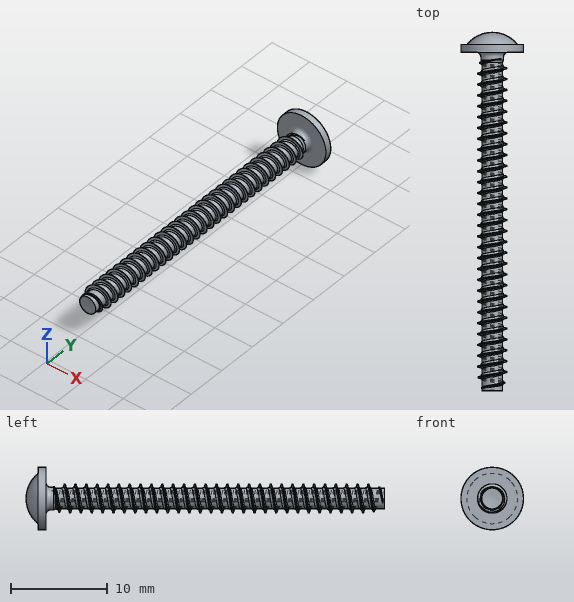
import cadquery as cq
import math


total_length = 37.07
head_diameter = 6.5
flange_thickness = 0.8
dome_diameter = 5.23
dome_height = 1.25
head_height = flange_thickness + dome_height

shank_length = total_length - head_height
core_radius = 1.08
neck_radius = 1.2
neck_fillet = 0.5
neck_length = 0.78
neck_taper_length = 0.25

turned_length = 31.4
turn_count = 28
pitch = turned_length / turn_count
crest_radius = 1.52
crest_half_width = 0.02
shoulder_radius = 1.22
shoulder_half_width = 0.093
foot_overlap = 0.05
foot_radius = core_radius - foot_overlap
head_side_foot_width = 0.4
tip_side_foot_width = 0.25
buried_depth = 0.2

crest_depth_at_top = 1.93
thread_start_depth = 0.22
thread_end_depth = shank_length - 0.07
fade_in_length = 1.4
fade_out_length = 1.4
steps_per_turn = 12
full_stretch_count = 14

hollow_depth = 0.1


def make_body():
    """Revolve the dome, flange, filleted neck and core about the Y axis."""
    dome_radius = dome_diameter / 2
    sphere_radius = (dome_radius**2 + dome_height**2) / (2 * dome_height)
    sphere_centre = head_height - sphere_radius
    half_angle = math.asin(dome_radius / sphere_radius) / 2
    dome_middle = (
        sphere_radius * math.sin(half_angle),
        sphere_centre + sphere_radius * math.cos(half_angle),
    )
    fillet_inset = neck_fillet * (1 - math.sqrt(0.5))
    fillet_middle = (neck_radius + fillet_inset, -fillet_inset)
    return (
        cq.Workplane("XY")
        .moveTo(0, head_height)
        .threePointArc(dome_middle, (dome_radius, flange_thickness))
        .lineTo(head_diameter / 2, flange_thickness)
        .lineTo(head_diameter / 2, 0)
        .lineTo(neck_radius + neck_fillet, 0)
        .threePointArc(fillet_middle, (neck_radius, -neck_fillet))
        .lineTo(neck_radius, -neck_length)
        .lineTo(core_radius, -neck_length - neck_taper_length)
        .lineTo(core_radius, -shank_length)
        .lineTo(0, -shank_length)
        .close()
        .revolve(360, (0, 0, 0), (0, 1, 0))
    )


def ridge_fullness(depth):
    """Share of the full ridge height that stands at a given depth below the seat."""
    rise = (depth - thread_start_depth) / fade_in_length
    fall = (thread_end_depth - depth) / fade_out_length
    return max(0, min(1, rise, fall))


def thread_edge(height, offset, start_depth, end_depth):
    """Helical edge through one corner of the profile, at a full height above the foot radius."""
    turns = (end_depth - start_depth) / pitch
    step_count = round(turns * steps_per_turn)
    points = []
    for step in range(step_count + 1):
        depth = start_depth + pitch * turns * step / step_count
        angle = 2 * math.pi * (depth - crest_depth_at_top) / pitch
        fullness = ridge_fullness(depth) if height > 0 else 1
        radius = foot_radius + height * fullness
        points.append(
            cq.Vector(-radius * math.sin(angle), -(depth + offset), radius * math.cos(angle))
        )
    parameters = [step / step_count for step in range(step_count + 1)]
    return cq.Edge.makeSpline(points, parameters=parameters)


def make_thread_stretch(start_depth, end_depth):
    """Skin the helical edges of the profile with ruled faces and close both ends."""
    crest_height = crest_radius - foot_radius
    shoulder_height = shoulder_radius - foot_radius
    corners = [
        (-buried_depth, -head_side_foot_width),
        (0, -head_side_foot_width),
        (shoulder_height, -shoulder_half_width),
        (crest_height, -crest_half_width),
        (crest_height, crest_half_width),
        (shoulder_height, shoulder_half_width),
        (0, tip_side_foot_width),
        (-buried_depth, tip_side_foot_width),
    ]
    edges = [thread_edge(height, offset, start_depth, end_depth) for height, offset in corners]
    neighbours = edges[1:] + edges[:1]
    faces = [cq.Face.makeRuledSurface(a, b) for a, b in zip(edges, neighbours)]
    for end in (0, 1):
        outline = cq.Wire.makePolygon([edge.positionAt(end) for edge in edges], close=True)
        faces.append(cq.Face.makeFromWires(outline))
    return cq.Solid.makeSolid(cq.Shell.makeShell(faces))


def make_tip_cutter():
    """Revolved cutter that trims the thread flush with the tip and hollows the tip slightly."""
    return (
        cq.Workplane("XY")
        .moveTo(0, hollow_depth - shank_length)
        .lineTo(core_radius, -shank_length)
        .lineTo(crest_radius, -shank_length)
        .lineTo(crest_radius, -shank_length - pitch)
        .lineTo(0, -shank_length - pitch)
        .close()
        .revolve(360, (0, 0, 0), (0, 1, 0))
    )


def make_thread_stretches():
    """Fade-in stretch, equal full-height stretches of about two turns, and fade-out stretch."""
    full_start_depth = thread_start_depth + fade_in_length
    full_end_depth = thread_end_depth - fade_out_length
    stretch_length = (full_end_depth - full_start_depth) / full_stretch_count
    stops = [full_start_depth + stretch_length * i for i in range(full_stretch_count + 1)]
    stops = [thread_start_depth] + stops + [thread_end_depth]
    return [make_thread_stretch(start, end) for start, end in zip(stops, stops[1:])]


screw = make_body().val().fuse(*make_thread_stretches())
trimmed_screw = screw.cut(make_tip_cutter().val())
result = cq.Workplane(trimmed_screw.Solids()[0])